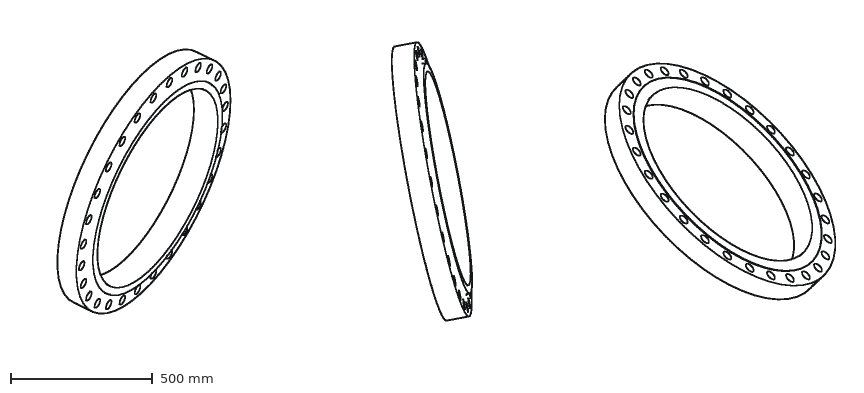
import cadquery as cq

outer_diameter = 984.0
bore_diameter = 768.0
total_length = 101.0

face_diameter = 856.0
face_height = 3.0

hub_diameter = 827.0
hub_length = 18.0
hub_fillet = 9.0

bolt_circle_diameter = 915.0
bolt_hole_diameter = 35.0
bolt_count = 28

flange_thickness = total_length - face_height - hub_length
flange_back = face_height + flange_thickness


def disc(start_x, diameter, length):
    """Solid disc centred on the X axis, extending toward +X."""
    return cq.Workplane("YZ", origin=(start_x, 0, 0)).circle(diameter / 2).extrude(length)


body = disc(face_height, outer_diameter, flange_thickness)
body = body.union(disc(flange_back, hub_diameter, hub_length))
flange_back_face = cq.selectors.NearestToPointSelector((flange_back, 0, bolt_circle_diameter / 2))
smallest_circle = cq.selectors.RadiusNthSelector(0)
body = body.faces(flange_back_face).edges(smallest_circle).fillet(hub_fillet)

body = body.union(disc(0, face_diameter, face_height))

bore = disc(0, bore_diameter, total_length)
bolt_holes = (
    cq.Workplane("YZ")
    .polarArray(bolt_circle_diameter / 2, 0, 360, bolt_count)
    .circle(bolt_hole_diameter / 2)
    .extrude(total_length)
)
result = body.cut(bore).cut(bolt_holes)